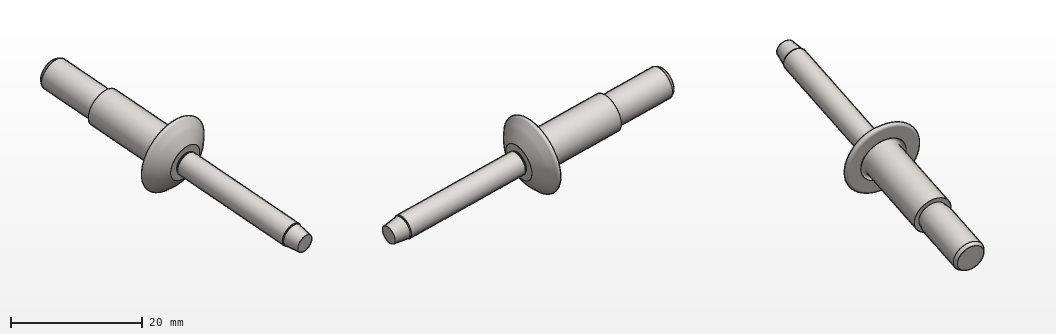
import cadquery as cq
import math

total_length = 53.75

mandrel_head_radius = 2.75
end_chamfer_length = 0.6
end_chamfer_depth = 0.4
shoulder_start_x = 9.25
shoulder_end_x = 9.95
shoulder_end_radius = 2.7
neck_radius = 2.45

sleeve_start_x = 11.0
sleeve_radius = 3.3
head_seat_x = 25.25
head_radius = 6.65
rim_radius = 0.5
dome_angle = 45.0
dome_end_x = 28.4
dome_end_radius = 3.15
seat_groove_radius = 0.4

stem_radius = 2.05
break_groove_radius = 1.9
break_groove_end_x = 28.65
stem_step_x = 50.95
stem_step_length = 0.15
stem_step_radius = 1.95
tip_taper_x = 51.8
tip_taper_radius = 1.85
tip_radius = 1.55


def revolve_about_x(outline):
    return outline.close().revolve(360, (0, 0, 0), (1, 0, 0))


def make_mandrel():
    outline = (
        cq.Workplane("XY")
        .lineTo(0, mandrel_head_radius - end_chamfer_depth)
        .lineTo(end_chamfer_length, mandrel_head_radius)
        .lineTo(shoulder_start_x, mandrel_head_radius)
        .lineTo(shoulder_end_x, shoulder_end_radius)
        .lineTo(sleeve_start_x, neck_radius)
        .lineTo(head_seat_x, neck_radius)
        .lineTo(head_seat_x, break_groove_radius)
        .lineTo(break_groove_end_x, break_groove_radius)
        .lineTo(break_groove_end_x, stem_radius)
        .lineTo(stem_step_x, stem_radius)
        .lineTo(stem_step_x + stem_step_length, stem_step_radius)
        .lineTo(tip_taper_x, tip_taper_radius)
        .lineTo(total_length, tip_radius)
        .lineTo(total_length, 0)
    )
    return revolve_about_x(outline)


def make_sleeve():
    rim_x = head_seat_x + rim_radius
    rim_center = head_radius - rim_radius
    normal = math.radians(90 - dome_angle)
    outline = (
        cq.Workplane("XY")
        .moveTo(sleeve_start_x, 0)
        .lineTo(sleeve_start_x, sleeve_radius)
        .lineTo(head_seat_x, sleeve_radius)
        .threePointArc(
            (head_seat_x + seat_groove_radius, sleeve_radius + seat_groove_radius),
            (head_seat_x, sleeve_radius + 2 * seat_groove_radius),
        )
        .lineTo(head_seat_x, rim_center)
        .threePointArc(
            (rim_x, head_radius),
            (rim_x + rim_radius * math.cos(normal), rim_center + rim_radius * math.sin(normal)),
        )
        .tangentArcPoint((dome_end_x, dome_end_radius), relative=False)
        .lineTo(dome_end_x, 0)
    )
    return revolve_about_x(outline)


result = make_mandrel().union(make_sleeve())